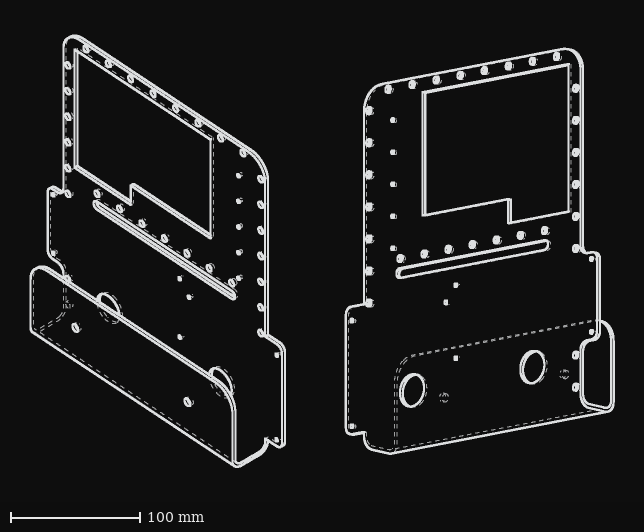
import cadquery as cq

SHEET_WIDTH = 228.5
SHEET_HEIGHT = 285.8
SHEET_THICKNESS = 3.1
HOOK_DEPTH = 38.0
LIP_HEIGHT = 76.3
BEND_RADIUS = 9.5
CORNER_RADIUS = 19.1

LEFT_TAB_REACH = 17.7
LEFT_TAB_BOTTOM = 51.1
LEFT_TAB_TOP = 120.3
LEFT_TAB_ROOT_RADIUS = 7.0
RIGHT_TAB_REACH = 19.1
RIGHT_TAB_BOTTOM = 13.0
RIGHT_TAB_TOP = 114.0
TAB_CORNER_RADIUS = 6.0

WINDOW_BORDER = 13.0
WINDOW_RIGHT = 166.5
WINDOW_STEP_X = 76.3
WINDOW_BOTTOM = 156.0
WINDOW_STEP_Z = 175.2

SLOT_LEFT = 34.3
SLOT_LENGTH = 160.0
SLOT_WIDTH = 7.7
SLOT_Z = 133.2

TOP_ROW_COUNT = 8
PITCH = SHEET_WIDTH / (TOP_ROW_COUNT + 1)
RIM_HOLE_DIAMETER = 5.5
RIM_EDGE_DISTANCE = 5.1
TOP_ROW_Z = 280.5
LOWER_ROW_COUNT = 7
LOWER_ROW_X = 1.5 * PITCH
LOWER_ROW_Z = 144.5
LEFT_COLUMN_COUNT = 6
LEFT_COLUMN_TOP = 252.5
LEFT_FOOT_COUNT = 2
LEFT_FOOT_TOP = 41.1
RIGHT_COLUMN_COUNT = 7
RIGHT_COLUMN_TOP = 266.5

SMALL_HOLE_DIAMETER = 3.0
SMALL_COLUMN_X = 198.3
SMALL_COLUMN_TOP = 255.5
SMALL_COLUMN_COUNT = 5
TAB_HOLE_EDGE_DISTANCE = 6.3
LEFT_TAB_HOLE_HEIGHTS = (57.2, 115.0)
RIGHT_TAB_HOLE_HEIGHTS = (19.1, 103.0)
CENTRE_PAIR_X = 131.7
OFFSET_HOLE_X = 142.3

LIP_HOLE_DIAMETER = 6.5
ACCESS_HOLE_DIAMETER = 25.5
LIP_HOLE_Z = 38.3
LIP_HOLE_INSET = 2 * PITCH
LIP_HOLES = [(x, LIP_HOLE_Z) for x in (LIP_HOLE_INSET, SHEET_WIDTH - LIP_HOLE_INSET)]


def plate(width, bottom, top, left=0.0, front=-SHEET_THICKNESS):
    """Upright rectangle one sheet thick, from its left end, height range and front face."""
    size = (width, SHEET_THICKNESS, top - bottom)
    return cq.Workplane("XY").box(*size, centered=False).translate((left, front, bottom))


def drill(body, points, diameter, front=-SHEET_THICKNESS):
    """Holes along Y through the one sheet whose front face lies at the given Y."""
    pins = (
        cq.Workplane("XZ", origin=(0, front, 0))
        .pushPoints(points)
        .circle(diameter / 2)
        .extrude(-SHEET_THICKNESS)
    )
    return body.cut(pins)


def row(first_x, z, count):
    """Hole centres one pitch apart, running right from the first."""
    return [(first_x + i * PITCH, z) for i in range(count)]


def column(x, top_z, count):
    """Hole centres one pitch apart, running down from the top one."""
    return [(x, top_z - i * PITCH) for i in range(count)]


def make_sheet():
    """Flat rear sheet with its rounded top and both side tabs."""
    sheet = plate(SHEET_WIDTH, BEND_RADIUS, SHEET_HEIGHT)
    sheet = sheet.edges("|Y and >Z").fillet(CORNER_RADIUS)

    left_tab = plate(LEFT_TAB_REACH, LEFT_TAB_BOTTOM, LEFT_TAB_TOP, left=-LEFT_TAB_REACH)
    left_tab = left_tab.edges("|Y and <X").fillet(TAB_CORNER_RADIUS)
    sheet = sheet.union(left_tab)
    for z in (LEFT_TAB_BOTTOM, LEFT_TAB_TOP):
        root = cq.selectors.NearestToPointSelector((0, -SHEET_THICKNESS / 2, z))
        sheet = sheet.edges("|Y").edges(root).fillet(LEFT_TAB_ROOT_RADIUS)

    right_tab = plate(RIGHT_TAB_REACH, RIGHT_TAB_BOTTOM, RIGHT_TAB_TOP, left=SHEET_WIDTH)
    right_tab = right_tab.edges("|Y and >X").fillet(TAB_CORNER_RADIUS)
    return sheet.union(right_tab)


def cut_window(body):
    window_top = SHEET_HEIGHT - WINDOW_BORDER
    window = (
        cq.Workplane("XZ")
        .moveTo(WINDOW_BORDER, window_top)
        .lineTo(WINDOW_RIGHT, window_top)
        .lineTo(WINDOW_RIGHT, WINDOW_STEP_Z)
        .lineTo(WINDOW_STEP_X, WINDOW_STEP_Z)
        .lineTo(WINDOW_STEP_X, WINDOW_BOTTOM)
        .lineTo(WINDOW_BORDER, WINDOW_BOTTOM)
        .close()
        .extrude(SHEET_THICKNESS)
    )
    return body.cut(window)


def cut_slot(body):
    slot = (
        cq.Workplane("XZ")
        .center(SLOT_LEFT + SLOT_LENGTH / 2, SLOT_Z)
        .slot2D(SLOT_LENGTH, SLOT_WIDTH)
        .extrude(SHEET_THICKNESS)
    )
    return body.cut(slot)


def drill_sheet(body):
    right_column_x = SHEET_WIDTH - RIM_EDGE_DISTANCE
    rim_holes = (
        row(PITCH, TOP_ROW_Z, TOP_ROW_COUNT)
        + row(LOWER_ROW_X, LOWER_ROW_Z, LOWER_ROW_COUNT)
        + column(RIM_EDGE_DISTANCE, LEFT_COLUMN_TOP, LEFT_COLUMN_COUNT)
        + column(RIM_EDGE_DISTANCE, LEFT_FOOT_TOP, LEFT_FOOT_COUNT)
        + column(right_column_x, RIGHT_COLUMN_TOP, RIGHT_COLUMN_COUNT)
    )
    body = drill(body, rim_holes, RIM_HOLE_DIAMETER)

    left_tab_x = TAB_HOLE_EDGE_DISTANCE - LEFT_TAB_REACH
    right_tab_x = SHEET_WIDTH + RIGHT_TAB_REACH - TAB_HOLE_EDGE_DISTANCE
    small_holes = column(SMALL_COLUMN_X, SMALL_COLUMN_TOP, SMALL_COLUMN_COUNT)
    small_holes += [(x, z) for x in (left_tab_x, CENTRE_PAIR_X) for z in LEFT_TAB_HOLE_HEIGHTS]
    small_holes += [(right_tab_x, z) for z in RIGHT_TAB_HOLE_HEIGHTS]
    small_holes.append((OFFSET_HOLE_X, max(RIGHT_TAB_HOLE_HEIGHTS)))
    body = drill(body, small_holes, SMALL_HOLE_DIAMETER)

    return drill(body, LIP_HOLES, ACCESS_HOLE_DIAMETER)


def make_trough():
    """Floor and two bends joining the sheet to the lip."""
    outer_height = 2 * BEND_RADIUS
    inner_radius = BEND_RADIUS - SHEET_THICKNESS
    outer = (
        cq.Workplane("XY")
        .box(SHEET_WIDTH, HOOK_DEPTH, outer_height, centered=False)
        .edges("|X and <Z")
        .fillet(BEND_RADIUS)
    )
    inner = (
        cq.Workplane("XY")
        .box(SHEET_WIDTH, HOOK_DEPTH - 2 * SHEET_THICKNESS, outer_height, centered=False)
        .edges("|X and <Z")
        .fillet(inner_radius)
        .translate((0, SHEET_THICKNESS, SHEET_THICKNESS))
    )
    above_bends = (
        cq.Workplane("XY", origin=(0, 0, BEND_RADIUS))
        .box(SHEET_WIDTH, HOOK_DEPTH, outer_height, centered=False)
    )
    return outer.cut(inner).cut(above_bends).translate((0, -HOOK_DEPTH, 0))


def make_lip():
    lip = plate(SHEET_WIDTH, BEND_RADIUS, LIP_HEIGHT, front=-HOOK_DEPTH)
    lip = lip.edges("|Y and >Z").fillet(CORNER_RADIUS)
    return drill(lip, LIP_HOLES, LIP_HOLE_DIAMETER, front=-HOOK_DEPTH)


sheet = drill_sheet(cut_slot(cut_window(make_sheet())))
result = sheet.union(make_trough()).union(make_lip())